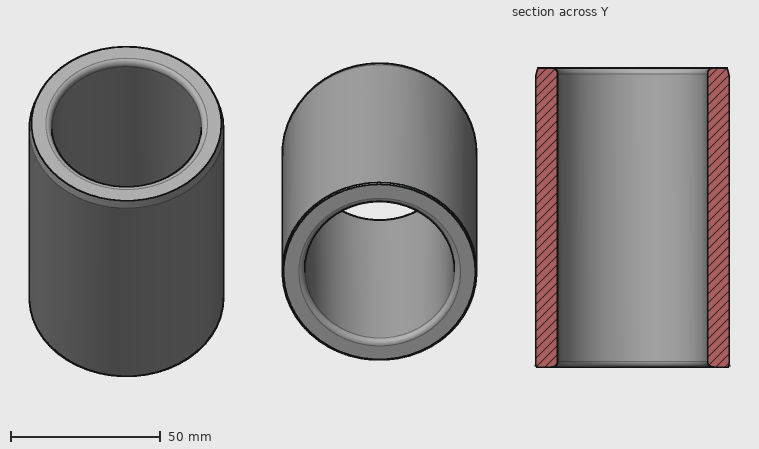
import cadquery as cq
import math

length = 100.0
outer_radius = 65.0 / 2
bore_radius = 50.0 / 2
lead_in_height = 3.0
lead_in_angle = 15.0
bottom_chamfer = 0.5
bore_rounding = 2.0

lead_in_inset = lead_in_height * math.tan(math.radians(lead_in_angle))
arc_offset = bore_rounding * (1 - math.sqrt(0.5))

half_section = (
    cq.Workplane("XZ")
    .moveTo(bore_radius + bore_rounding, 0)
    .lineTo(outer_radius - bottom_chamfer, 0)
    .lineTo(outer_radius, bottom_chamfer)
    .lineTo(outer_radius, length - lead_in_height)
    .lineTo(outer_radius - lead_in_inset, length)
    .lineTo(bore_radius + bore_rounding, length)
    .threePointArc(
        (bore_radius + arc_offset, length - arc_offset),
        (bore_radius, length - bore_rounding),
    )
    .lineTo(bore_radius, bore_rounding)
    .threePointArc(
        (bore_radius + arc_offset, arc_offset),
        (bore_radius + bore_rounding, 0),
    )
    .close()
)

result = half_section.revolve(360, (0, 0, 0), (0, 1, 0))